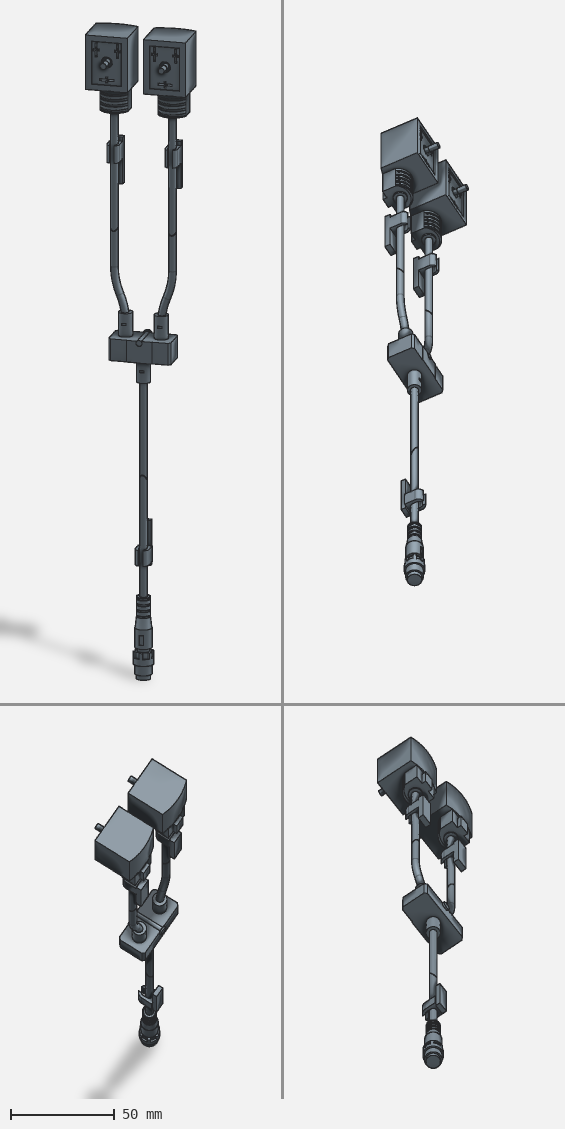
import cadquery as cq
import math

branch_x = 14.5
cable_d = 3.8

break_gap = 0.4
branch_break_z = 227.0
branch_break_tilt = 1.1
trunk_break_z = 99.5
trunk_break_tilt = -1.8

housing_w = 21.0
housing_top = 327.0
housing_bottom = 299.5
housing_front = -15.0
housing_side_back = 4.9
housing_mid_back = 6.8
face_w = 14.8
face_bottom = 302.4
face_top = 324.0
face_depth = 0.8
slot_len = 7.0
slot_w = 1.0
slot_cross_len = 3.0
slot_depth = 4.0
side_slot_x = 5.3
side_slot_z = 319.6
base_slot_z = 304.8
screw_z = 313.7
screw_well_d = 5.4
screw_well_depth = 3.0
screw_d = 3.0
screw_neck_d = 2.69
screw_neck_end = housing_front - 1.0
screw_tip = -20.93

boot_w = 14.0
boot_bottom = 285.6
boot_back = 5.9
boot_flat_front = -1.1
boot_nose = -6.0
groove_count = 5
groove_pitch = 2.7
groove_w = 1.1
groove_depth = 1.2
first_groove_z = 297.4
key_w = 5.4
key_top = 296.5
key_back = 8.0
collar_d = 7.0
collar_h = 1.0

splitter_w = 31.0
splitter_front = -7.8
splitter_back = 7.0
splitter_bottom = 161.4
splitter_top = 172.4
splitter_chamfer = 1.2
panel_w = 12.8
panel_rise = 0.3
stub_d = 6.9
stub_x = 8.9
stub_top = 184.2
stub_bottom = 149.7
mark_w = 2.2
mark_h = 1.0
mark_depth = 0.4
upper_mark_z = 178.7
lower_mark_z = 155.6
rivet_z = 171.4
rivet_d = 3.0
rivet_head_d = 4.4
rivet_head_back = 8.0
rivet_front = -8.4
bend_top = 206.8
bend_mid = 193.0
bend_end = 2 * bend_mid - bend_top

tip_d = 7.0
tip_top = 2.4
nose_d = 8.5
nose_top = 7.4
nut_d = 10.0
nut_flange_top = 10.9
crown_top = 13.9
crown_core_d = 8.0
crown_rib_count = 6
crown_rib_w = 1.6
neck_d = 5.9
neck_top = 15.8
sleeve_d = 8.5
sleeve_top = 25.6
shoulder_d = 8.2
shoulder_top = 31.2
sleeve_window_w = 2.0
sleeve_window_bottom = 17.8
sleeve_window_top = 22.7
sleeve_window_depth = 0.5
grip_d = 6.9
grip_top = 41.4
grip_groove_d = 5.8
grip_groove_h = 0.9
grip_groove_pitch = 2.95
grip_groove_count = 4
first_grip_groove_z = shoulder_top

clip_mouth_w = 2.4
branch_clip = dict(
    ring_w=6.2, ring_front=-5.1, ring_bottom=260.0, ring_top=268.9,
    plate_w=6.2, plate_front=3.9, plate_back=6.8, plate_bottom=247.2, plate_top=270.9,
)
trunk_clip = dict(
    ring_w=6.9, ring_front=-5.7, ring_bottom=58.1, ring_top=66.0,
    plate_w=5.4, plate_front=3.5, plate_back=5.9, plate_bottom=56.1, plate_top=78.8,
)


def block(x, width, y0, y1, z0, z1):
    """Box centred on x, spanning y0..y1 and z0..z1."""
    box = cq.Workplane("XY").box(width, y1 - y0, z1 - z0, centered=(True, False, False))
    return box.translate((x, y0, z0))


def rod_z(x, diameter, z0, z1):
    """Cylinder along Z on a cable axis."""
    return cq.Workplane("XY").circle(diameter / 2).extrude(z1 - z0).translate((x, 0, z0))


def rod_y(x, z, diameter, y0, y1):
    """Cylinder along Y from y0 (front) to y1 (back)."""
    return cq.Workplane("XZ", origin=(x, y1, z)).circle(diameter / 2).extrude(y1 - y0)


def cable(x, z_body, z_break, tilt):
    """Straight cable from a body end to the oblique break."""
    towards_body = math.copysign(1, z_body - z_break)
    half_y = cable_d
    cut_z = z_break + towards_body * break_gap / 2
    keep = (
        cq.Workplane("YZ")
        .moveTo(-half_y, cut_z - tilt * half_y)
        .lineTo(half_y, cut_z + tilt * half_y)
        .lineTo(half_y, z_body)
        .lineTo(-half_y, z_body)
        .close()
        .extrude(cable_d, both=True)
        .translate((x, 0, 0))
    )
    reach = abs(tilt) * cable_d
    ends = sorted([z_body, z_break - towards_body * reach])
    return rod_z(x, cable_d, *ends).intersect(keep)


def contact_slot(x, z, width, height):
    return block(x, width, housing_front, housing_front + slot_depth, z - height / 2, z + height / 2)


def make_housing(x):
    half_w = housing_w / 2
    housing = (
        cq.Workplane("XY", origin=(x, 0, housing_bottom))
        .moveTo(-half_w, housing_front)
        .lineTo(half_w, housing_front)
        .lineTo(half_w, housing_side_back)
        .threePointArc((0, housing_mid_back), (-half_w, housing_side_back))
        .close()
        .extrude(housing_top - housing_bottom)
    )
    housing = housing.cut(block(x, face_w, housing_front, housing_front + face_depth, face_bottom, face_top))
    for side in (-1, 1):
        slot_x = x + side * side_slot_x
        housing = housing.cut(contact_slot(slot_x, side_slot_z, slot_w, slot_len))
        housing = housing.cut(contact_slot(slot_x, side_slot_z, slot_cross_len, slot_w))
    housing = housing.cut(contact_slot(x, base_slot_z, slot_len, slot_w))
    housing = housing.cut(contact_slot(x, base_slot_z, slot_w, slot_cross_len))
    well_floor = housing_front + screw_well_depth
    housing = housing.cut(rod_y(x, screw_z, screw_well_d, housing_front, well_floor))
    housing = housing.union(rod_y(x, screw_z, screw_neck_d, screw_neck_end, well_floor))
    return housing.union(rod_y(x, screw_z, screw_d, screw_tip, screw_neck_end))


def boot_profile(x, z, inset, height):
    """Flat-backed boot section with a bowed front, whose bow is flattened by the inset."""
    half_w = boot_w / 2
    return (
        cq.Workplane("XY", origin=(x, 0, z))
        .moveTo(half_w, boot_flat_front)
        .lineTo(half_w, boot_back)
        .lineTo(-half_w, boot_back)
        .lineTo(-half_w, boot_flat_front)
        .threePointArc((0, boot_nose + inset), (half_w, boot_flat_front))
        .close()
        .extrude(height)
    )


def make_boot(x):
    boot = boot_profile(x, boot_bottom, 0, housing_bottom - boot_bottom)
    for i in range(groove_count):
        z = first_groove_z - i * groove_pitch - groove_w / 2
        ring = boot_profile(x, z, 0, groove_w).cut(boot_profile(x, z, groove_depth, groove_w))
        boot = boot.cut(ring)
    boot = boot.union(block(x, key_w, boot_back, key_back, boot_bottom, key_top))
    return boot.union(rod_z(x, collar_d, boot_bottom - collar_h, boot_bottom))


def make_valve_connector(x):
    lead = cable(x, boot_bottom, branch_break_z, branch_break_tilt)
    return make_housing(x).union(make_boot(x)).union(lead)


def stub_mark(x, z):
    surface = -stub_d / 2
    return block(x, mark_w, surface, surface + mark_depth, z - mark_h / 2, z + mark_h / 2)


def make_bend(side):
    """S-bend of two equal arcs, vertical at both ends."""
    top_x = side * branch_x
    end_x = side * stub_x
    mid_x = (top_x + end_x) / 2
    dx = abs(top_x - mid_x)
    dz = bend_top - bend_mid
    radius = (dx**2 + dz**2) / (2 * dx)
    half_angle = math.asin(dz / radius) / 2
    sag_x = side * radius * (1 - math.cos(half_angle))
    sag_z = radius * math.sin(half_angle)
    path = (
        cq.Workplane("XZ")
        .moveTo(top_x, bend_top)
        .threePointArc((top_x - sag_x, bend_top - sag_z), (mid_x, bend_mid))
        .threePointArc((end_x + sag_x, bend_end + sag_z), (end_x, bend_end))
    )
    return cq.Workplane("XY", origin=(top_x, 0, bend_top)).circle(cable_d / 2).sweep(path)


def make_splitter():
    splitter = block(0, splitter_w, splitter_front, splitter_back, splitter_bottom, splitter_top)
    splitter = splitter.edges("|Z").chamfer(splitter_chamfer)
    splitter = splitter.union(
        block(0, panel_w, splitter_front - panel_rise, splitter_front, splitter_bottom, splitter_top)
    )
    splitter = splitter.union(rod_y(0, rivet_z, rivet_d, rivet_front, splitter_back))
    splitter = splitter.union(rod_y(0, rivet_z, rivet_head_d, splitter_back, rivet_head_back))
    trunk_stub = rod_z(0, stub_d, stub_bottom, splitter_bottom).cut(stub_mark(0, lower_mark_z))
    splitter = splitter.union(trunk_stub)
    splitter = splitter.union(cable(0, stub_bottom, trunk_break_z, trunk_break_tilt))
    for side in (-1, 1):
        x = side * stub_x
        stub = rod_z(x, stub_d, splitter_top, stub_top).cut(stub_mark(x, upper_mark_z))
        lead = cable(side * branch_x, bend_top, branch_break_z, branch_break_tilt)
        splitter = splitter.union(stub).union(make_bend(side)).union(lead)
    return splitter


def make_plug():
    sections = [
        (tip_d, tip_top),
        (nose_d, nose_top),
        (nut_d, nut_flange_top),
        (crown_core_d, crown_top),
        (neck_d, neck_top),
        (sleeve_d, sleeve_top),
    ]
    plug = rod_z(0, tip_d, 0, tip_top)
    for (_, bottom), (diameter, top) in zip(sections, sections[1:]):
        plug = plug.union(rod_z(0, diameter, bottom, top))
    crown_disc = rod_z(0, nut_d, nut_flange_top, crown_top)
    for i in range(crown_rib_count // 2):
        rib = block(0, crown_rib_w, -nut_d / 2, nut_d / 2, nut_flange_top, crown_top)
        rib = rib.rotate((0, 0, 0), (0, 0, 1), i * 360 / crown_rib_count)
        plug = plug.union(rib.intersect(crown_disc))
    shoulder = (
        cq.Workplane("XY", origin=(0, 0, sleeve_top))
        .circle(shoulder_d / 2)
        .workplane(offset=shoulder_top - sleeve_top)
        .circle(grip_d / 2)
        .loft()
    )
    window_front = -sleeve_d / 2
    window_floor = window_front + sleeve_window_depth
    window = block(0, sleeve_window_w, window_front, window_floor, sleeve_window_bottom, sleeve_window_top)
    plug = plug.union(shoulder).cut(window)
    plug = plug.union(rod_z(0, grip_d, shoulder_top, grip_top))
    for i in range(grip_groove_count):
        z = first_grip_groove_z + i * grip_groove_pitch
        groove = rod_z(0, grip_d, z, z + grip_groove_h).cut(rod_z(0, grip_groove_d, z, z + grip_groove_h))
        plug = plug.cut(groove)
    return plug.union(cable(0, grip_top, trunk_break_z, trunk_break_tilt))


def make_clip(
    x, ring_w, ring_front, ring_bottom, ring_top,
    plate_w, plate_front, plate_back, plate_bottom, plate_top,
):
    """Open-fronted, round-nosed ring around the cable, carrying a label plate behind it."""
    nose_y = ring_front + ring_w / 2
    height = ring_top - ring_bottom
    ring = (
        cq.Workplane("XY", origin=(x, 0, ring_bottom))
        .moveTo(-ring_w / 2, plate_front)
        .lineTo(-ring_w / 2, nose_y)
        .threePointArc((0, ring_front), (ring_w / 2, nose_y))
        .lineTo(ring_w / 2, plate_front)
        .close()
        .extrude(height)
    )
    cavity = (
        cq.Workplane("XY", origin=(x, nose_y / 2, ring_bottom))
        .slot2D(cable_d - nose_y, cable_d, 90)
        .extrude(height)
    )
    mouth = block(x, clip_mouth_w, ring_front, nose_y, ring_bottom, ring_top)
    ring = ring.cut(cavity).cut(mouth)
    return ring.union(block(x, plate_w, plate_front, plate_back, plate_bottom, plate_top))


valve_connectors = [make_valve_connector(side * branch_x) for side in (-1, 1)]
splitter = make_splitter()
plug = make_plug()
branch_label_clips = [make_clip(side * branch_x, **branch_clip) for side in (-1, 1)]
trunk_label_clip = make_clip(0, **trunk_clip)

bodies = [*valve_connectors, splitter, plug, *branch_label_clips, trunk_label_clip]
result = cq.Compound.makeCompound([body.solids().val() for body in bodies])